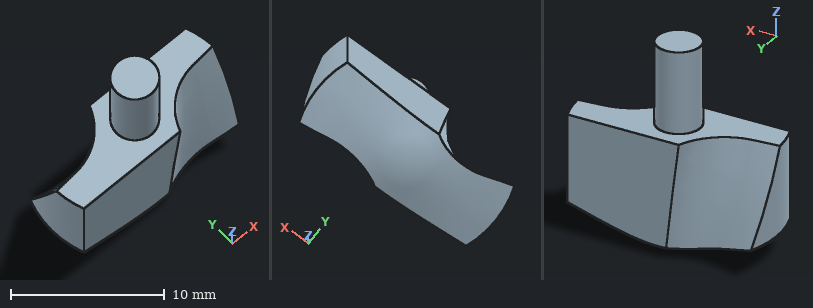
import cadquery as cq
import math

head_diameter = 14.68
head_thickness = 5.37
overall_height = 14.7
point_slope = 17.0
shank_diameter = 3.2
shank_length = 6.0

head_radius = head_diameter / 2
point_height = head_radius * math.tan(math.radians(point_slope))
head_height = overall_height - shank_length

root_radius = 4.5
root_center_x = 5.84
root_center_y = -4.13
face_angle = 5.6
twist_per_mm = 3.73
outside_clearance = 2.0

flute_count = 2


def point_on_root(angle):
    """Point of the root circle at the given angle in degrees."""
    turn = math.radians(angle)
    return (
        root_center_x + root_radius * math.cos(turn),
        root_center_y + root_radius * math.sin(turn),
    )


def make_head():
    """Flat blade cut from a cylinder with a conical point."""
    pointed_cylinder = (
        cq.Workplane("XZ")
        .moveTo(0, 0)
        .lineTo(head_radius, point_height)
        .lineTo(head_radius, head_height)
        .lineTo(0, head_height)
        .close()
        .revolve(360, (0, 0), (0, 1))
    )
    slab = cq.Workplane("XY").box(
        head_diameter, head_thickness, head_height, centered=(True, True, False)
    )
    return pointed_cylinder.intersect(slab)


def make_flute():
    """Helical cutter that turns about the drill axis, from the tip to the top of the head."""
    root_start = point_on_root(180)
    tangent_angle = 90 + face_angle
    root_middle = point_on_root((180 + tangent_angle) / 2)
    root_end = point_on_root(tangent_angle)

    outer_x = head_radius + outside_clearance
    face_rise = (outer_x - root_end[0]) * math.tan(math.radians(face_angle))
    face_end = (outer_x, root_end[1] + face_rise)
    outer_corner = (outer_x, root_start[1])

    total_twist = twist_per_mm * head_height
    return (
        cq.Workplane("XY")
        .moveTo(*root_start)
        .threePointArc(root_middle, root_end)
        .lineTo(*face_end)
        .lineTo(*outer_corner)
        .close()
        .twistExtrude(head_height, total_twist)
        .rotate((0, 0, 0), (0, 0, 1), -total_twist)
    )


def make_shank():
    """Round shank standing on the top of the head."""
    return (
        cq.Workplane("XY")
        .workplane(offset=head_height)
        .circle(shank_diameter / 2)
        .extrude(shank_length)
    )


result = make_head()
flute = make_flute()
for index in range(flute_count):
    result = result.cut(flute.rotate((0, 0, 0), (0, 0, 1), index * 360 / flute_count))
result = result.union(make_shank())